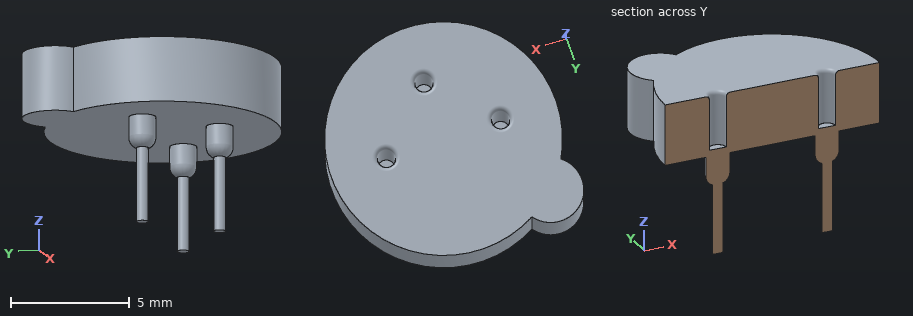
import cadquery as cq
import math

body_diameter = 10.01
body_height = 2.82
tab_radius = 1.40
tab_offset = 3.54

contact_pitch = 2.54
contact_centres = [(-contact_pitch, 0), (contact_pitch, 0), (0, -contact_pitch)]
overall_height = 7.37
sleeve_diameter = 1.14
sleeve_length = 1.37
sleeve_end_radius = 0.49
tail_diameter = 0.51
bore_diameter = 0.76
bore_depth = 2.5
bore_lip_radius = 0.2

body_top = body_height
tail_bottom = body_height - overall_height


def make_body():
    disc = cq.Workplane("XY").circle(body_diameter / 2).extrude(body_height)
    tab = cq.Workplane("XY").center(-tab_offset, tab_offset).circle(tab_radius).extrude(body_height)
    return disc.union(tab)


def make_contact():
    """Sleeve with a rounded lower end and a thin solder tail, on the Z axis."""
    sleeve = (
        cq.Workplane("XY")
        .workplane(offset=-sleeve_length)
        .circle(sleeve_diameter / 2)
        .extrude(sleeve_length + body_height)
        .faces("<Z")
        .edges()
        .fillet(sleeve_end_radius)
    )
    tail = cq.Workplane("XY").workplane(offset=tail_bottom).circle(tail_diameter / 2).extrude(-tail_bottom)
    return sleeve.union(tail)


def make_bore():
    """Blind bore with a rounded-over mouth, on the Z axis."""
    bore_radius = bore_diameter / 2
    mouth_radius = bore_radius + bore_lip_radius
    lip_middle = bore_lip_radius * (1 - math.cos(math.radians(45)))
    return (
        cq.Workplane("XZ")
        .moveTo(0, body_top - bore_depth)
        .lineTo(bore_radius, body_top - bore_depth)
        .lineTo(bore_radius, body_top - bore_lip_radius)
        .threePointArc(
            (bore_radius + lip_middle, body_top - lip_middle),
            (mouth_radius, body_top),
        )
        .lineTo(0, body_top)
        .close()
        .revolve(360, (0, 0, 0), (0, 1, 0))
    )


result = make_body()
for x, y in contact_centres:
    result = result.union(make_contact().translate((x, y, 0)))
for x, y in contact_centres:
    result = result.cut(make_bore().translate((x, y, 0)))